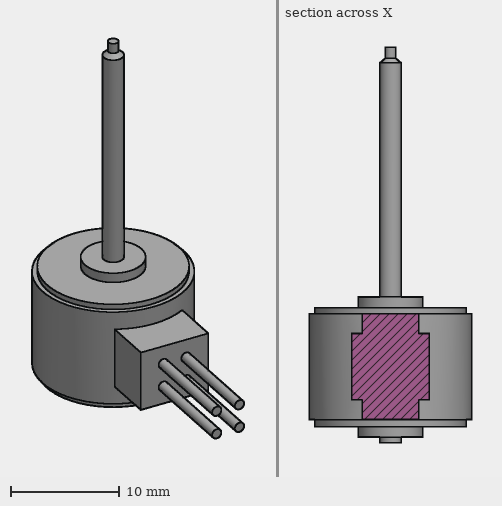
import cadquery as cq

total_height = 36.5
lower_hub_base = 0.55
lower_plate_base = 1.5
body_base = 2.15
body_top = 11.95
upper_plate_top = 12.5
upper_hub_top = 13.47
shaft_shoulder = 35.05
tip_base = 35.48

body_diameter = 15.0
plate_diameter = 14.0
hub_diameter = 6.0
shaft_diameter = 2.0
tip_diameter = 1.0

block_end = 11.5
block_width = 7.15
block_height = 6.15
block_center_z = (body_base + body_top) / 2

wire_diameter = 1.0
wire_spacing = 2.4
wire_end = 29.0 - body_diameter / 2


def cylinder(diameter, bottom, top):
    """Vertical cylinder on the shaft axis."""
    return cq.Workplane("XY").workplane(offset=bottom).circle(diameter / 2).extrude(top - bottom)


def make_motor():
    """Body with stepped end plates and hubs at both ends."""
    hubs = cylinder(hub_diameter, lower_hub_base, upper_hub_top)
    plates = cylinder(plate_diameter, lower_plate_base, upper_plate_top)
    body = cylinder(body_diameter, body_base, body_top)
    return body.union(plates).union(hubs)


def make_shaft():
    """Through shaft with a conical shoulder below its narrow tip."""
    shaft_radius = shaft_diameter / 2
    tip_radius = tip_diameter / 2
    return (
        cq.Workplane("XZ")
        .polyline([
            (0, 0),
            (shaft_radius, 0),
            (shaft_radius, shaft_shoulder),
            (tip_radius, tip_base),
            (tip_radius, total_height),
            (0, total_height),
        ])
        .close()
        .revolve(360, (0, 0), (0, 1))
    )


def make_terminal_block():
    """Rectangular block reaching from the shaft axis out past the body."""
    return (
        cq.Workplane("YZ", origin=(0, 0, block_center_z))
        .rect(block_width, block_height)
        .extrude(block_end)
    )


def make_wires():
    """Four straight wires starting on the outer face of the block."""
    return (
        cq.Workplane("YZ", origin=(block_end, 0, block_center_z))
        .rarray(wire_spacing, wire_spacing, 2, 2)
        .circle(wire_diameter / 2)
        .extrude(wire_end - block_end)
    )


result = make_motor().union(make_shaft()).union(make_terminal_block()).union(make_wires())